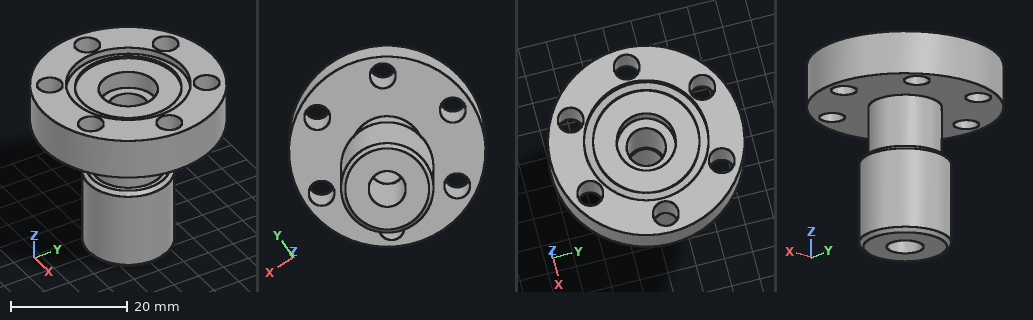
import cadquery as cq

total_height = 33.27
flange_diameter = 33.78
flange_thickness = 7.75
neck_diameter = 12.65
collar_diameter = 15.88
collar_height = 15.85
collar_chamfer = 0.75

recess_diameter = 21.38
recess_depth = 1.3
knife_edge_diameter = 18.27
knife_edge_depth = 0.68
recess_floor_depth = 1.1

counterbore_diameter = 10.17
counterbore_depth = 3.35
bore_top_diameter = 6.72
bore_bottom_diameter = 6.35
bore_cone_bottom = collar_height
bore_cone_height = (bore_top_diameter - bore_bottom_diameter) / 2

bolt_count = 6
bolt_hole_diameter = 4.4
bolt_circle_diameter = 26.92


def make_profile():
    """Half section of the turned body, radius along X and height along Z."""
    neck_radius = neck_diameter / 2
    collar_radius = collar_diameter / 2
    collar_end_radius = collar_radius - collar_chamfer
    flange_radius = flange_diameter / 2
    knife_edge_radius = knife_edge_diameter / 2
    flange_bottom = total_height - flange_thickness
    recess_floor = total_height - recess_floor_depth
    counterbore_floor = recess_floor - counterbore_depth

    outer_points = [
        (bore_bottom_diameter / 2, 0),
        (collar_end_radius, 0),
        (collar_radius, collar_chamfer),
        (collar_radius, collar_height - collar_chamfer),
        (collar_end_radius, collar_height),
        (neck_radius, collar_height),
        (neck_radius, flange_bottom),
        (flange_radius, flange_bottom),
        (flange_radius, total_height),
    ]
    inner_points = [
        (recess_diameter / 2, total_height),
        (recess_diameter / 2, total_height - recess_depth),
        (knife_edge_radius, total_height - knife_edge_depth),
        (knife_edge_radius, recess_floor),
        (counterbore_diameter / 2, recess_floor),
        (counterbore_diameter / 2, counterbore_floor),
        (bore_top_diameter / 2, counterbore_floor),
        (bore_top_diameter / 2, bore_cone_bottom + bore_cone_height),
        (bore_bottom_diameter / 2, bore_cone_bottom),
    ]
    return cq.Workplane("XZ").polyline(outer_points + inner_points).close()


def make_bolt_holes():
    """Cylinders through the flange, the first one on the +X axis."""
    return (
        cq.Workplane("XY", origin=(0, 0, total_height))
        .polarArray(bolt_circle_diameter / 2, 0, 360, bolt_count)
        .circle(bolt_hole_diameter / 2)
        .extrude(-flange_thickness)
    )


body = make_profile().revolve(360, (0, 0, 0), (0, 1, 0))
result = body.cut(make_bolt_holes())